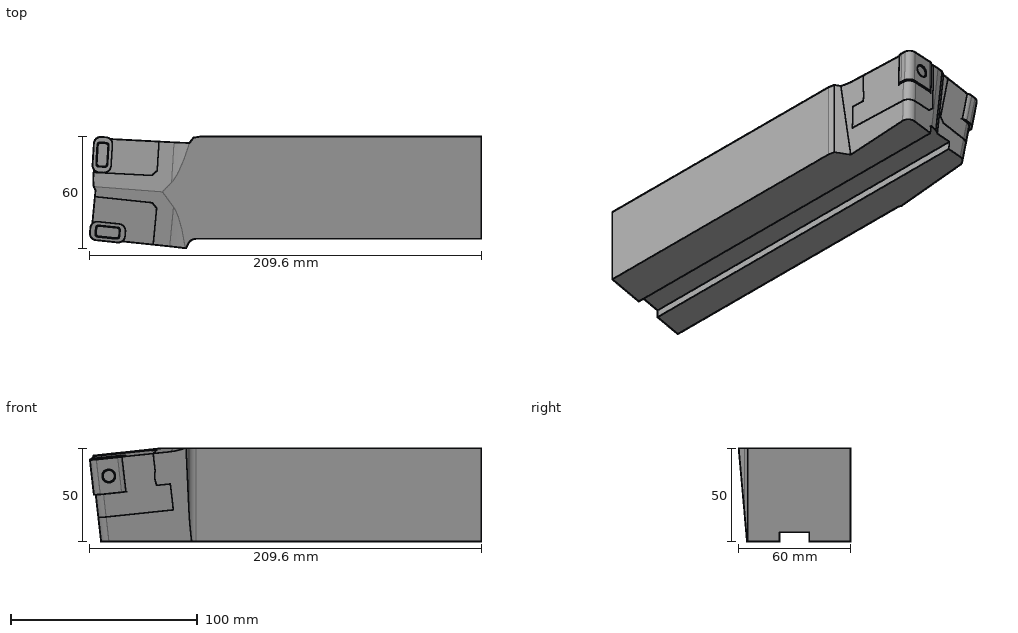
import cadquery as cq
import math

LENGTH = 209.6
SHANK_WIDTH = 55.0
HEIGHT = 50.0
HEAD_OVERHANG = 5.0
SLOT_DEPTH = 5.0
SLOT_START_Y = 17.0
SLOT_WIDTH = 15.7

FRONT_BLEND_END_X = 57.0
FRONT_BLEND_RADIUS = 4.5
FRONT_BLEND_ANGLE = 58.0
FRONT_STRIP_X = 51.8
BACK_SHOULDER = [(59.5, SHANK_WIDTH), (55.8, 54.3), (49.0, 45.5)]

RIDGE_X = 39.0
RIDGE_Y = 25.4
END_LEAN = 6.0

FRONT_SWING = 6.0
BACK_SWING = 3.0
FRONT_TILT = 5.4
BACK_TILT = -5.2

FRONT_END_U = -35.8
BACK_END_U = -37.5
FRONT_SIDE_V = -29.0
BACK_SIDE_V = 26.8
FRONT_RUNOUT_U = 6.7
BACK_RUNOUT_U = 4.6
RUNOUT_RADIUS = 33.5
NOSE_CORNER_RADIUS = 4.6
STEP_FRONT_Y = 26.0
STEP_BACK_Y = 28.5
STEP_LAND_Y = 32.3
STEP_RISE = 1.0

CARTRIDGE_DEPTH = 31.2
CARTRIDGE_CHAMFER = 2.7
TONGUE_TOP_DEPTH = 17.2
TONGUE_LENGTH = 7.3
LIP_START_DEPTH = 9.5
LIP_BULGE = 0.6
FRONT_INNER_V = -6.5
BACK_INNER_V = 8.4
FRONT_CARTRIDGE_END_U = -2.0
BACK_CARTRIDGE_END_U = -3.4

INSERT_LENGTH = 19.0
INSERT_THICKNESS = 10.0
INSERT_HEIGHT = 18.9
INSERT_RADIUS = 3.8
INSERT_PROTRUSION = 0.8
RECESS_DEPTH = 0.5
RECESS_FLARE = 0.5
RECESS_DIAMETER = 6.3
CHIP_POCKET_LENGTH = 12.4
CHIP_POCKET_WIDTH = 5.5
CHIP_POCKET_RADIUS = 1.3

REACH = 125.8
CLEARANCE = 2.0


def rake_dip(swing):
    """Angle in radians by which the u axis rises, for a nose end that leans by END_LEAN."""
    return math.atan(math.tan(math.radians(END_LEAN)) * math.cos(math.radians(swing)))


def seat_frame(swing, tilt):
    """Frame whose u face leans like the nose end and whose v axis rises by the tilt."""
    swing_rad = math.radians(swing)
    tilt_rad = math.radians(tilt)
    dip = rake_dip(swing)
    u_axis = cq.Vector(
        math.cos(swing_rad) * math.cos(dip), -math.sin(swing_rad) * math.cos(dip), math.sin(dip)
    )
    level = cq.Vector(math.sin(swing_rad), math.cos(swing_rad), 0)
    v_axis = level * math.cos(tilt_rad) + u_axis.cross(level) * math.sin(tilt_rad)
    return cq.Plane((RIDGE_X, RIDGE_Y, HEIGHT), u_axis, u_axis.cross(v_axis))


def place(shape, frame):
    return shape.val().moved(cq.Location(frame))


def box(u_range, v_range, w_range):
    size = [high - low for low, high in (u_range, v_range, w_range)]
    return cq.Workplane().box(*size, centered=False).translate((u_range[0], v_range[0], w_range[0]))


front_frame = seat_frame(FRONT_SWING, FRONT_TILT)
back_frame = seat_frame(BACK_SWING, BACK_TILT)

TIP_CENTER_U = FRONT_END_U - INSERT_PROTRUSION + INSERT_RADIUS
TIP_CENTER_V = FRONT_SIDE_V - INSERT_PROTRUSION + INSERT_RADIUS


def insert_tip_x():
    """Lowest X of the front insert: the extreme of its tilted corner circle."""
    center = front_frame.toWorldCoords((TIP_CENTER_U, TIP_CENTER_V, 0))
    return center.x - INSERT_RADIUS * math.hypot(front_frame.xDir.x, front_frame.yDir.x)


SHANK_END_X = insert_tip_x() + LENGTH


def bar_stock():
    """Bar with the head overhang on -Y, blended into the shank, and the underside slot."""
    angle = math.radians(FRONT_BLEND_ANGLE)
    arc_x = FRONT_BLEND_END_X - FRONT_BLEND_RADIUS * math.sin(angle)
    arc_y = -FRONT_BLEND_RADIUS * (1 - math.cos(angle))
    mid_x = FRONT_BLEND_END_X - FRONT_BLEND_RADIUS * math.sin(angle / 2)
    mid_y = -FRONT_BLEND_RADIUS * (1 - math.cos(angle / 2))
    bar = (
        cq.Workplane()
        .moveTo(-CLEARANCE, -HEAD_OVERHANG)
        .lineTo(FRONT_STRIP_X, -HEAD_OVERHANG)
        .lineTo(arc_x, arc_y)
        .threePointArc((mid_x, mid_y), (FRONT_BLEND_END_X, 0))
        .lineTo(SHANK_END_X, 0)
        .lineTo(SHANK_END_X, SHANK_WIDTH)
        .lineTo(-CLEARANCE, SHANK_WIDTH)
        .close()
        .extrude(HEIGHT)
    )
    slot = box((-CLEARANCE, SHANK_END_X), (SLOT_START_Y, SLOT_START_Y + SLOT_WIDTH), (0, SLOT_DEPTH))
    return bar.cut(slot)


def rake_cutter(frame, runout_u):
    """Everything above a rake face and its curved run-out to the flat top."""
    half_arc = math.radians(45)
    arc_middle = (
        runout_u + RUNOUT_RADIUS * math.sin(half_arc),
        RUNOUT_RADIUS * (1 - math.cos(half_arc)),
    )
    cutter = (
        cq.Workplane("XZ")
        .moveTo(-REACH, 0)
        .lineTo(runout_u, 0)
        .threePointArc(arc_middle, (runout_u + RUNOUT_RADIUS, RUNOUT_RADIUS))
        .lineTo(-REACH, RUNOUT_RADIUS)
        .close()
        .extrude(REACH, both=True)
    )
    return place(cutter, frame)


def end_x(swing, end_u, y):
    """X of a nose end face at height HEIGHT."""
    swing_rad = math.radians(swing)
    dip = rake_dip(swing)
    level_u = end_u / math.cos(dip)
    return RIDGE_X + (level_u + math.sin(swing_rad) * (y - RIDGE_Y)) / math.cos(swing_rad)


def nose_cutter():
    """Leaning prism in front of both nose end faces and the step between them."""
    step_x = end_x(FRONT_SWING, FRONT_END_U, STEP_FRONT_Y)
    land_x = end_x(BACK_SWING, BACK_END_U, STEP_LAND_Y)
    outline = [
        (end_x(FRONT_SWING, FRONT_END_U, -REACH), -REACH),
        (step_x, STEP_FRONT_Y),
        (step_x - STEP_RISE, STEP_BACK_Y),
        (land_x, STEP_LAND_Y),
        (end_x(BACK_SWING, BACK_END_U, REACH), REACH),
        (-REACH, REACH),
        (-REACH, -REACH),
    ]
    drop = cq.Vector(HEIGHT * math.tan(math.radians(END_LEAN)), 0, -HEIGHT)
    wire = cq.Wire.makePolygon([cq.Vector(x, y, HEIGHT) for x, y in outline], close=True)
    return cq.Solid.extrudeLinear(wire, [], drop)


def back_side_cutter():
    """Space beside the +Y head face, ended by the shoulder of the shank."""
    zone = (
        cq.Workplane()
        .polyline(BACK_SHOULDER + [(-REACH, BACK_SHOULDER[-1][1]), (-REACH, SHANK_WIDTH)])
        .close()
        .extrude(HEIGHT)
    )
    beside = place(box((-REACH, REACH), (BACK_SIDE_V, REACH), (-REACH, REACH)), back_frame)
    return zone.intersect(cq.Workplane(beside))


def corner_cutter(frame, end_u, side_v, inward):
    """Waste outside a rounded nose corner; inward is the sign of v into the head."""
    radius = NOSE_CORNER_RADIUS
    diagonal = radius * (1 - math.sqrt(0.5))
    waste = (
        cq.Workplane()
        .moveTo(end_u, side_v + inward * radius)
        .threePointArc((end_u + diagonal, side_v + inward * diagonal), (end_u + radius, side_v))
        .lineTo(end_u + radius, side_v - inward * CLEARANCE)
        .lineTo(end_u - CLEARANCE, side_v - inward * CLEARANCE)
        .lineTo(end_u - CLEARANCE, side_v + inward * radius)
        .close()
        .extrude(REACH, both=True)
    )
    return place(waste, frame)


def head_and_shank():
    front_side = box((-REACH, REACH), (-REACH, FRONT_SIDE_V), (-REACH, REACH))
    return (
        bar_stock()
        .cut(nose_cutter())
        .cut(place(front_side, front_frame))
        .cut(back_side_cutter())
        .cut(corner_cutter(front_frame, FRONT_END_U, FRONT_SIDE_V, 1))
        .cut(corner_cutter(back_frame, BACK_END_U, BACK_SIDE_V, -1))
        .cut(rake_cutter(front_frame, FRONT_RUNOUT_U))
        .cut(rake_cutter(back_frame, BACK_RUNOUT_U))
    )


def cartridge_block(end_u, inner_v, outward):
    """Cartridge shape, oversized on its open sides; outward is the sign of v out of the head."""
    v_range = sorted((inner_v, inner_v + outward * REACH))
    inner_side = ">Y" if outward < 0 else "<Y"
    body = (
        box((-REACH, end_u), v_range, (-CARTRIDGE_DEPTH, CLEARANCE))
        .faces(inner_side)
        .edges("<Z or >X")
        .chamfer(CARTRIDGE_CHAMFER)
    )
    tongue = (
        box((end_u - TONGUE_LENGTH, end_u + TONGUE_LENGTH), v_range, (-CARTRIDGE_DEPTH, -TONGUE_TOP_DEPTH))
        .faces(inner_side)
        .edges("<Z")
        .chamfer(CARTRIDGE_CHAMFER)
    )
    lip_middle = (LIP_START_DEPTH + TONGUE_TOP_DEPTH) / 2
    lip_groove = (
        cq.Workplane("XZ")
        .moveTo(end_u, -LIP_START_DEPTH)
        .threePointArc((end_u - LIP_BULGE, -lip_middle), (end_u, -TONGUE_TOP_DEPTH))
        .close()
        .extrude(REACH, both=True)
    )
    return body.union(tongue).cut(lip_groove)


def insert_blank():
    """Upright rounded block: length along X, top at Z=0, centred in X and Y."""
    return (
        cq.Workplane()
        .box(INSERT_LENGTH, INSERT_THICKNESS, INSERT_HEIGHT, centered=(True, True, False))
        .translate((0, 0, -INSERT_HEIGHT))
        .edges("|Z")
        .fillet(INSERT_RADIUS)
    )


def make_insert():
    """Insert blank with a shallow chip pocket in the top and a shallow round recess in the -Y face."""
    flare = math.degrees(math.atan(RECESS_FLARE / RECESS_DEPTH))
    pocket_outline = (
        cq.Sketch().rect(CHIP_POCKET_LENGTH, CHIP_POCKET_WIDTH).vertices().fillet(CHIP_POCKET_RADIUS)
    )
    chip_pocket = (
        cq.Workplane(origin=(0, 0, -RECESS_DEPTH))
        .placeSketch(pocket_outline)
        .extrude(RECESS_DEPTH, taper=-flare)
    )
    round_recess = (
        cq.Workplane("XZ", origin=(0, RECESS_DEPTH - INSERT_THICKNESS / 2, -INSERT_HEIGHT / 2))
        .circle(RECESS_DIAMETER / 2)
        .extrude(RECESS_DEPTH, taper=-flare)
    )
    return insert_blank().cut(chip_pocket).cut(round_recess)


def seat_front(insert):
    """Put an insert lengthwise along the -Y side of the head."""
    u = FRONT_END_U - INSERT_PROTRUSION + INSERT_LENGTH / 2
    v = FRONT_SIDE_V - INSERT_PROTRUSION + INSERT_THICKNESS / 2
    return place(insert.translate((u, v, 0)), front_frame)


def seat_back(insert):
    """Put an insert across the nose end, at the +Y corner."""
    u = BACK_END_U - INSERT_PROTRUSION + INSERT_THICKNESS / 2
    v = BACK_SIDE_V + INSERT_PROTRUSION - INSERT_LENGTH / 2
    turned = insert.rotate((0, 0, 0), (0, 0, 1), -90)
    return place(turned.translate((u, v, 0)), back_frame)


head = head_and_shank()
front_block = place(cartridge_block(FRONT_CARTRIDGE_END_U, FRONT_INNER_V, -1), front_frame)
back_block = place(cartridge_block(BACK_CARTRIDGE_END_U, BACK_INNER_V, 1), back_frame)

front_seat = seat_front(insert_blank())
back_seat = seat_back(insert_blank())

holder = head.cut(front_block).cut(back_block).cut(front_seat).cut(back_seat)
front_cartridge = head.intersect(cq.Workplane(front_block)).cut(front_seat)
back_cartridge = head.intersect(cq.Workplane(back_block)).cut(back_seat)
front_insert = seat_front(make_insert())
back_insert = seat_back(make_insert())

result = cq.Compound.makeCompound(
    [*holder.vals(), *front_cartridge.vals(), *back_cartridge.vals(), front_insert, back_insert]
)